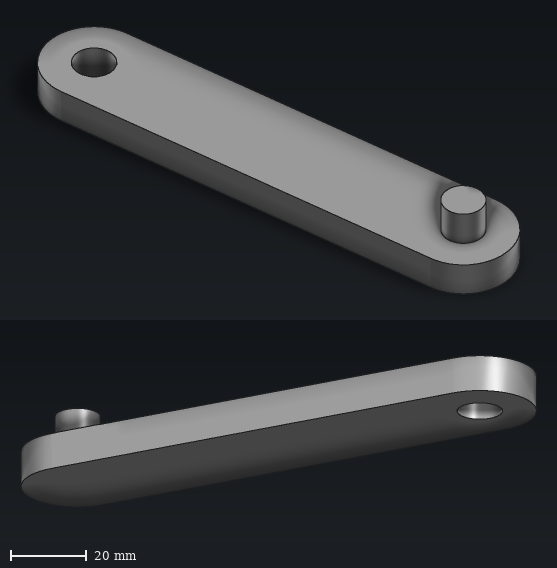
import cadquery as cq

length = 150.0
width = 30.0
total_height = 20.0
thickness = total_height / 2
pivot_spacing = length - width

pin_diameter = 12.0
hole_diameter = pin_diameter
pin_height = total_height - thickness


def make_bar():
    """Flat bar with full-radius ends, resting on Z = 0."""
    return cq.Workplane("XY").slot2D(length, width).extrude(thickness)


def make_cylinder(x, base_z, diameter, height):
    """Vertical cylinder on the bar's centre line."""
    return (
        cq.Workplane("XY", origin=(x, 0, base_z))
        .circle(diameter / 2)
        .extrude(height)
    )


hole = make_cylinder(-pivot_spacing / 2, 0, hole_diameter, thickness)
pin = make_cylinder(pivot_spacing / 2, thickness, pin_diameter, pin_height)

result = make_bar().cut(hole).union(pin)